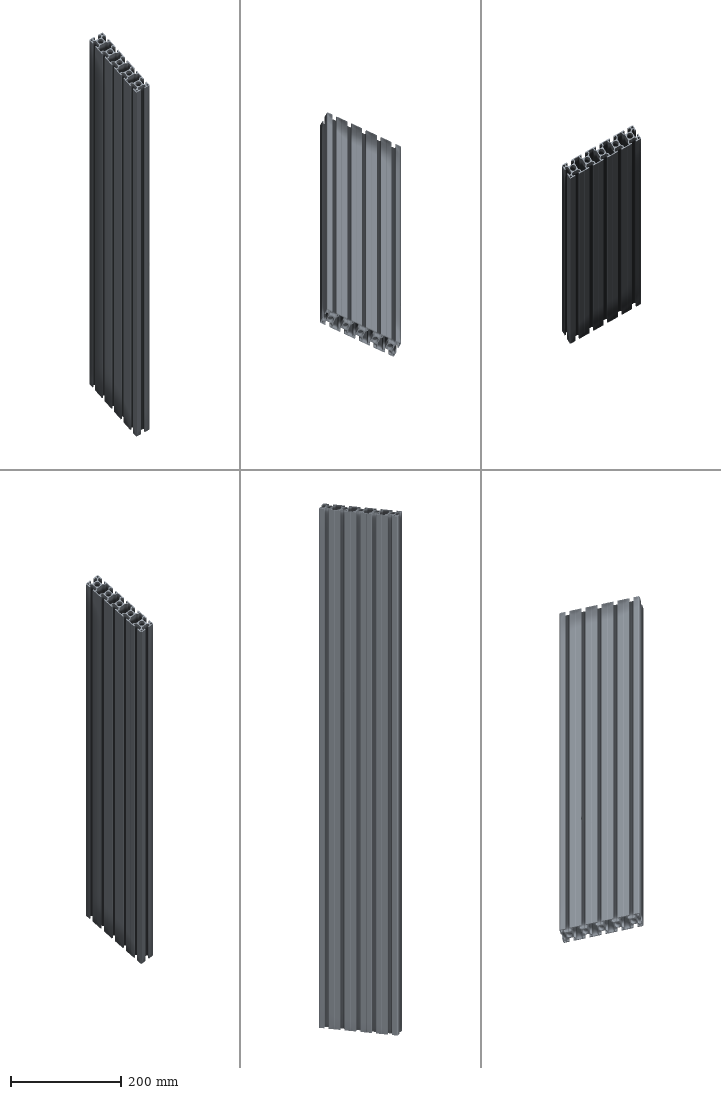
import cadquery as cq
import math

module = 30.0
module_count = 5
width = module * module_count
depth = module
length = 1000.0
corner_radius = 2.0

wall = 1.5

slot_opening = 8.2
mouth_radius = 0.25
slot_lip = 2.2
slot_inner_width = 16.0
slot_shoulder_depth = 5.5
slot_depth = 8.0
slot_floor_width = slot_inner_width - 2 * (slot_depth - slot_shoulder_depth)

groove_width = 1.0
groove_depth = 0.3

bore_diameter = module - 2 * (slot_depth + wall)

corner_hollow_size = 3.5

chamber_neck_width = 10.0
chamber_waist_width = module - bore_diameter - 2 * wall
flank_reach = (module - slot_inner_width) / 2 + depth / 2 - slot_shoulder_depth
shoulder_reach = flank_reach - wall * math.sqrt(2)
chamber_neck_y = shoulder_reach - chamber_neck_width / 2
chamber_waist_y = shoulder_reach - chamber_waist_width / 2

module_centers = [(i - (module_count - 1) / 2) * module for i in range(module_count)]
joint_centers = [x + module / 2 for x in module_centers[:-1]]


def mirrored_prism(right_side):
    """Prism along Z from the +X half of an outline that is symmetric about the Y axis."""
    left_side = [(-x, y) for x, y in reversed(right_side) if x > 0]
    return cq.Workplane("XY").polyline(right_side + left_side).close().extrude(length)


def make_bar():
    """Solid rectangular bar with rounded long edges."""
    return cq.Workplane("XY").rect(width, depth).extrude(length).edges("|Z").fillet(corner_radius)


def make_groove():
    """V-groove cutter, open towards +Y, with its mouth at the origin."""
    return mirrored_prism([(0, -groove_depth), (groove_width / 2, 0)])


def make_mouth_rounding():
    """Cutter that flares the slot mouth with a convex rounding on both lips."""
    inner = slot_opening / 2
    outer = inner + mouth_radius
    to_arc_middle = mouth_radius * math.sqrt(0.5)
    middle = (outer - to_arc_middle, to_arc_middle - mouth_radius)
    return (
        cq.Workplane("XY")
        .moveTo(outer, 0)
        .threePointArc(middle, (inner, -mouth_radius))
        .lineTo(-inner, -mouth_radius)
        .threePointArc((-middle[0], middle[1]), (-outer, 0))
        .close()
        .extrude(length)
    )


def make_slot():
    """T-slot cutter, open towards +Y, with its mouth at the origin."""
    half_opening = slot_opening / 2
    half_inner = slot_inner_width / 2
    slot = mirrored_prism(
        [
            (half_opening, 0),
            (half_opening, -slot_lip),
            (half_inner, -slot_lip),
            (half_inner, -slot_shoulder_depth),
            (slot_floor_width / 2, -slot_depth),
        ]
    )
    return slot.union(make_mouth_rounding()).union(make_groove().translate((0, -slot_depth, 0)))


def cut_from_wide_faces(body, cutter, places):
    """Cut at the given X places into both the +Y and the -Y face."""
    turned = cutter.rotate((0, 0, 0), (0, 0, 1), 180)
    for x in places:
        body = body.cut(cutter.translate((x, depth / 2, 0)))
        body = body.cut(turned.translate((x, -depth / 2, 0)))
    return body


def cut_from_narrow_faces(body, cutter):
    """Cut along the middle of both the -X and the +X face."""
    for side in (-1, 1):
        turned = cutter.rotate((0, 0, 0), (0, 0, 1), -90 * side)
        body = body.cut(turned.translate((side * width / 2, 0, 0)))
    return body


def cut_bores(body):
    """Round bore along the axis of every module."""
    places = [(x, 0) for x in module_centers]
    return body.cut(cq.Workplane("XY").pushPoints(places).circle(bore_diameter / 2).extrude(length))


def cut_corner_hollows(body):
    """Square hollow inside each of the four corners of the bar."""
    inset = wall + corner_hollow_size / 2
    hollows = (
        cq.Workplane("XY")
        .rect(width - 2 * inset, depth - 2 * inset, forConstruction=True)
        .vertices()
        .rect(corner_hollow_size, corner_hollow_size)
        .extrude(length)
    )
    return body.cut(hollows)


def make_chamber():
    """Chamber cutter: wide at mid-depth, narrowing to a neck between the slots."""
    half_neck = chamber_neck_width / 2
    half_waist = chamber_waist_width / 2
    upper_right = [
        (half_neck, depth / 2 - wall),
        (half_neck, chamber_neck_y),
        (half_waist, chamber_waist_y),
    ]
    lower_right = [(x, -y) for x, y in reversed(upper_right)]
    return mirrored_prism(upper_right + lower_right)


def cut_chambers(body):
    """One chamber at every joint between modules."""
    chamber = make_chamber()
    for x in joint_centers:
        body = body.cut(chamber.translate((x, 0, 0)))
    return body


slot_cutter = make_slot()
result = make_bar()
result = cut_from_wide_faces(result, slot_cutter, module_centers)
result = cut_from_narrow_faces(result, slot_cutter)
result = cut_from_wide_faces(result, make_groove(), joint_centers)
result = cut_bores(result)
result = cut_chambers(result)
result = cut_corner_hollows(result)